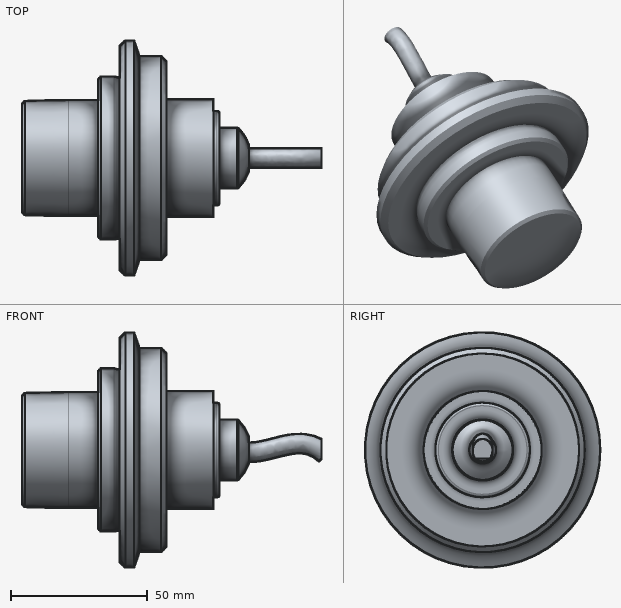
import cadquery as cq
import math


nose_chamfer = 1.1
nose_front_radius = 20.9
nose_end_x = 17.0
barrel_radius = 21.2
rear_radius = 21.5
rear_start_x = 52.8
rear_end_x = 69.9
boss_radius = 17.3
boss_end_x = 72.2
boss_fillet = 1.1

disc_radius = 14.0
disc_depth = 2.2

ring_radius = 29.9
ring_start_x = 27.8
ring_chamfer = 1.1
ring_taper_x = 33.7
ring_taper_drop = 0.4
ring_taper_end_x = 35.2

flange_start_x = 35.7
rim_radius = 43.0
rim_chamfer = 2.1
rim_end_x = 40.9
hub_radius = 37.3
hub_start_x = 42.9
hub_chamfer = 2.1

gland_radius = 11.2
gland_bevel = 0.2
gland_bevel_x = 78.4
dome_start_x = 79.0
dome_end_x = 82.8
dome_end_radius = 4.9
dome_sphere_radius = 15.3

cable_radius = 3.6
cable_low_x = 84.6
cable_low_z = -0.8
cable_high_x = 100.0
cable_high_z = 2.3
cable_bend_run = 10.9
cable_bend_rise = 3.8
cable_end_x = 109.4


def revolved(profile):
    """Turn a profile drawn as (x, radius) about the X axis."""
    return profile.close().revolve(360, (0, 0, 0), (1, 0, 0))


def rod(radius, start_x, end_x):
    """Cylinder along the X axis between two stations."""
    return cq.Workplane("YZ", origin=(start_x, 0, 0)).circle(radius).extrude(end_x - start_x)


def make_face_disc():
    return rod(disc_radius, 0, disc_depth)


def make_body():
    crown_length = nose_end_x - nose_chamfer
    crown_drop = barrel_radius - nose_front_radius
    crown_radius = (crown_length**2 + crown_drop**2) / (2 * crown_drop)
    crown_middle = (
        nose_end_x - crown_length / 2,
        barrel_radius - crown_radius + math.sqrt(crown_radius**2 - (crown_length / 2) ** 2),
    )
    profile = (
        cq.Workplane("XY")
        .moveTo(disc_depth, 0)
        .lineTo(disc_depth, disc_radius)
        .lineTo(0, disc_radius)
        .lineTo(0, nose_front_radius - nose_chamfer)
        .lineTo(nose_chamfer, nose_front_radius)
        .threePointArc(crown_middle, (nose_end_x, barrel_radius))
        .lineTo(rear_start_x, barrel_radius)
        .lineTo(rear_start_x, rear_radius)
        .lineTo(rear_end_x, rear_radius)
        .lineTo(rear_end_x, boss_radius)
        .lineTo(boss_end_x - boss_fillet, boss_radius)
        .radiusArc((boss_end_x, boss_radius - boss_fillet), boss_fillet)
        .lineTo(boss_end_x, 0)
    )
    return revolved(profile)


def make_retaining_ring():
    profile = (
        cq.Workplane("XY")
        .moveTo(ring_start_x, barrel_radius)
        .lineTo(ring_start_x, ring_radius - ring_chamfer)
        .lineTo(ring_start_x + ring_chamfer, ring_radius)
        .lineTo(ring_taper_x, ring_radius)
        .lineTo(ring_taper_end_x, ring_radius - ring_taper_drop)
        .lineTo(flange_start_x, ring_radius - ring_taper_drop)
        .lineTo(flange_start_x, barrel_radius)
    )
    return revolved(profile)


def make_flange():
    profile = (
        cq.Workplane("XY")
        .moveTo(flange_start_x, barrel_radius)
        .lineTo(flange_start_x, rim_radius - rim_chamfer)
        .lineTo(flange_start_x + rim_chamfer, rim_radius)
        .lineTo(rim_end_x, rim_radius)
        .lineTo(hub_start_x, hub_radius)
        .lineTo(rear_start_x - hub_chamfer, hub_radius)
        .lineTo(rear_start_x, hub_radius - hub_chamfer)
        .lineTo(rear_start_x, barrel_radius)
    )
    return revolved(profile)


def make_gland():
    profile = (
        cq.Workplane("XY")
        .moveTo(boss_end_x, 0)
        .lineTo(boss_end_x, gland_radius)
        .lineTo(gland_bevel_x, gland_radius)
        .lineTo(dome_start_x, gland_radius - gland_bevel)
        .radiusArc((dome_end_x, dome_end_radius), dome_sphere_radius)
        .lineTo(dome_end_x, 0)
    )
    return revolved(profile)


def make_cable():
    start_x = cable_low_x - cable_bend_run
    end_x = cable_high_x + cable_bend_run
    centre_line = cq.Workplane("XZ").spline(
        [
            (start_x, cable_low_z + cable_bend_rise),
            (cable_low_x, cable_low_z),
            ((cable_low_x + cable_high_x) / 2, (cable_low_z + cable_high_z) / 2),
            (cable_high_x, cable_high_z),
            (end_x, cable_high_z - cable_bend_rise),
        ]
    )
    start = centre_line.val().startPoint()
    direction = centre_line.val().tangentAt(0)
    start_plane = cq.Plane(origin=start.toTuple(), xDir=(0, 1, 0), normal=direction.toTuple())
    swept = cq.Workplane(start_plane).circle(cable_radius).sweep(centre_line)
    return swept.intersect(rod(gland_radius, dome_end_x, cable_end_x)).solids()


face_disc = make_face_disc()
body = make_body()
retaining_ring = make_retaining_ring()
flange = make_flange()
gland = make_gland()
cable = make_cable()

result = cq.Compound.makeCompound(
    [
        face_disc.val(),
        body.val(),
        retaining_ring.val(),
        flange.val(),
        gland.val(),
        cable.val(),
    ]
)